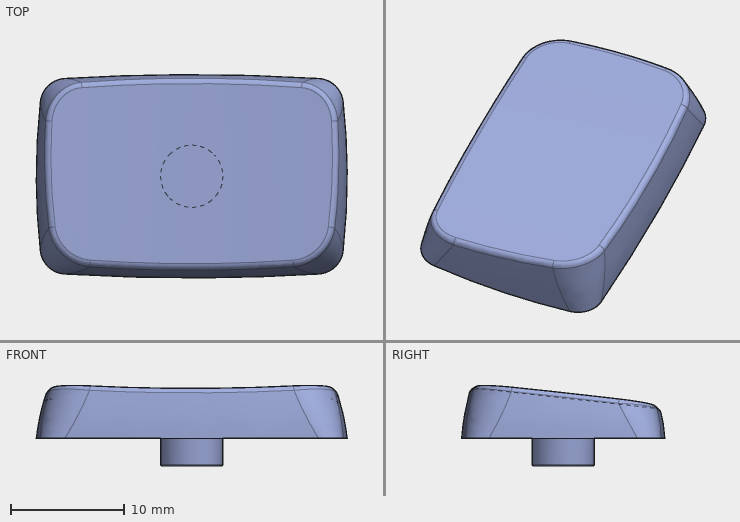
import cadquery as cq
import math

base_length = 27.52
base_width = 18.0
section_spacing = 2.48
wall_sections = [
    (0.0, 0.0, 0.0, 2.35),
    (0.45, 0.33, 0.39, 3.45),
    (1.18, 0.94, 1.25, 3.85),
]
long_side_bow = 0.47
short_side_bow = 0.6

dish_radius = 159.62
dish_center_height = 3.58
dish_slope = 6.4
rim_fillet = 0.55

stem_diameter = 5.5
stem_length = 2.45
stem_fillet = 0.17


def bowed_outline(height, side_inset, front_inset, back_inset, corner_radius):
    """Rounded rectangle with four outward-bowed sides."""
    side = base_length / 2 - side_inset
    front = -base_width / 2 + front_inset
    back = base_width / 2 - back_inset
    middle = (front + back) / 2
    corner_x = side - short_side_bow
    corner_front = front + long_side_bow
    corner_back = back - long_side_bow
    outline = (
        cq.Workplane("XY", origin=(0, 0, height))
        .moveTo(-corner_x, corner_front)
        .threePointArc((0, front), (corner_x, corner_front))
        .threePointArc((side, middle), (corner_x, corner_back))
        .threePointArc((0, back), (-corner_x, corner_back))
        .threePointArc((-side, middle), (-corner_x, corner_front))
        .close()
        .val()
    )
    return outline.fillet2D(corner_radius, outline.Vertices())


def dish_cutter():
    """Long cylinder whose underside is the sloping dish."""
    length = 2 * base_width
    slope = math.radians(dish_slope)
    direction = cq.Vector(0, math.cos(slope), -math.sin(slope))
    upward = cq.Vector(0, math.sin(slope), math.cos(slope))
    axis_middle = cq.Vector(0, 0, dish_center_height) + upward * dish_radius
    return cq.Solid.makeCylinder(dish_radius, length, axis_middle - direction * (length / 2), direction)


def make_cap():
    outlines = [
        bowed_outline(index * section_spacing, *section)
        for index, section in enumerate(wall_sections)
    ]
    cap = cq.Workplane(cq.Solid.makeLoft(outlines)).cut(cq.Workplane(dish_cutter()))
    dish_face = cq.selectors.NearestToPointSelector((0, 0, dish_center_height))
    return cap.faces(dish_face).edges().fillet(rim_fillet)


def make_stem():
    return (
        cq.Workplane("XY")
        .circle(stem_diameter / 2)
        .extrude(-stem_length)
        .faces("<Z")
        .edges()
        .fillet(stem_fillet)
    )


result = make_cap().union(make_stem())